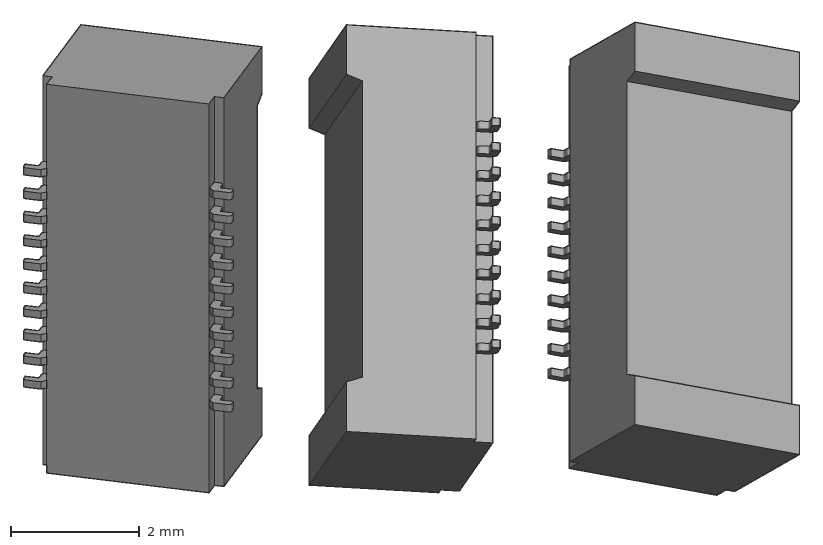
import cadquery as cq

height = 6.6
body_width = 2.94
back_y = 2.4
standoff = 0.05

step_width = 0.15
step_y = 0.35

recess_depth = 0.25
rim_height = 0.805
recess_slope = 0.09

lead_count = 10
lead_pitch = 0.4
lead_thickness = 0.125
lead_span = 3.38
foot_thickness = 0.14
lead_top_y = 0.32
tip_round = 0.05
heel_chamfer = 0.08
bend_round = 0.025

half_width = body_width / 2
inner_x = half_width - step_width
half_span = lead_span / 2


def make_block(width, y_start, y_end):
    """Full-height block centred on X and Z between two Y planes."""
    return (
        cq.Workplane("XY")
        .box(width, y_end - y_start, height, centered=(True, False, True))
        .translate((0, y_start, 0))
    )


def make_housing():
    """Block of full width at the back and narrower between the corner steps."""
    back = make_block(body_width, step_y, back_y)
    front = make_block(2 * inner_x, standoff, step_y)
    return back.union(front)


def make_back_recess():
    """Trapezoidal channel running the full width of the back face."""
    mouth_z = height / 2 - rim_height
    floor_z = mouth_z - recess_slope
    floor_y = back_y - recess_depth
    return (
        cq.Workplane("YZ")
        .polyline([
            (back_y, -mouth_z),
            (back_y, mouth_z),
            (floor_y, floor_z),
            (floor_y, -floor_z),
        ])
        .close()
        .extrude(half_width, both=True)
    )


def edge_at(x, y):
    """Selects the edge parallel to Z that passes through the given point."""
    return cq.selectors.NearestToPointSelector((x, y, 0))


def make_lead():
    """L-shaped lead on the +X side: an upright against the step and an outward foot."""
    lead = (
        cq.Workplane("XY")
        .polyline([
            (inner_x, 0),
            (half_span, 0),
            (half_span, foot_thickness),
            (half_width, foot_thickness),
            (half_width, lead_top_y),
            (inner_x, lead_top_y),
        ])
        .close()
        .extrude(lead_thickness / 2, both=True)
    )
    lead = lead.edges(edge_at(inner_x, 0)).chamfer(heel_chamfer)
    lead = lead.edges(edge_at(half_span, 0)).fillet(tip_round)
    lead = lead.edges(edge_at(half_width, lead_top_y)).fillet(tip_round)
    return lead.edges(edge_at(half_width, foot_thickness)).fillet(bend_round)


right_lead = make_lead()
left_lead = right_lead.mirror("YZ")

result = make_housing().cut(make_back_recess())
for index in range(lead_count):
    lead_z = (index - (lead_count - 1) / 2) * lead_pitch
    for lead in (right_lead, left_lead):
        result = result.union(lead.translate((0, 0, lead_z)))